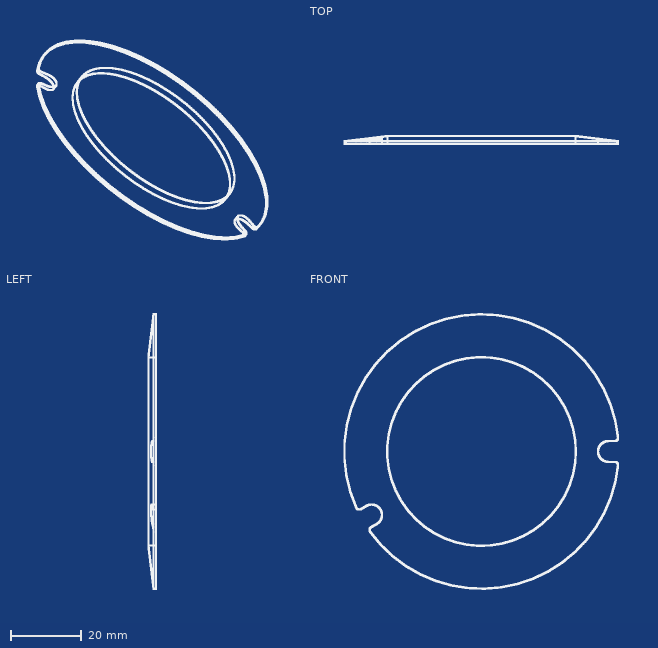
import cadquery as cq
import math

outer_radius = 39.0
bore_radius = 26.7
rim_thickness = 0.8
bore_thickness = 2.25

notch_width = 5.85
notch_center_radius = 36.0
notch_angles = (0, 210)
corner_radius = 0.9


def conical_ring():
    """Revolve the tapered cross-section around the Y axis."""
    return (
        cq.Workplane("XY")
        .moveTo(bore_radius, 0)
        .lineTo(outer_radius, 0)
        .lineTo(outer_radius, rim_thickness)
        .lineTo(bore_radius, bore_thickness)
        .close()
        .revolve(360, (0, 0, 0), (0, 1, 0))
    )


def notch_cutter(angle):
    """Cut a round-ended notch whose mouth corners blend into the rim."""
    half_width = notch_width / 2
    corner_z = half_width + corner_radius
    corner_path = outer_radius - corner_radius
    corner_x = math.sqrt(corner_path**2 - corner_z**2)
    rim_scale = outer_radius / corner_path
    rim_x = corner_x * rim_scale
    rim_z = corner_z * rim_scale
    start_angle = -math.pi / 2
    end_angle = math.atan2(corner_z, corner_x)
    mid_angle = (start_angle + end_angle) / 2
    mid_x = corner_x + corner_radius * math.cos(mid_angle)
    mid_z = corner_z + corner_radius * math.sin(mid_angle)

    return (
        cq.Workplane("XZ")
        .moveTo(corner_x, half_width)
        .lineTo(notch_center_radius, half_width)
        .threePointArc(
            (notch_center_radius - half_width, 0),
            (notch_center_radius, -half_width),
        )
        .lineTo(corner_x, -half_width)
        .threePointArc((mid_x, -mid_z), (rim_x, -rim_z))
        .threePointArc((outer_radius, 0), (rim_x, rim_z))
        .threePointArc((mid_x, mid_z), (corner_x, half_width))
        .close()
        .extrude(-bore_thickness)
        .rotate((0, 0, 0), (0, 1, 0), -angle)
    )


result = conical_ring()
for notch_angle in notch_angles:
    result = result.cut(notch_cutter(notch_angle))